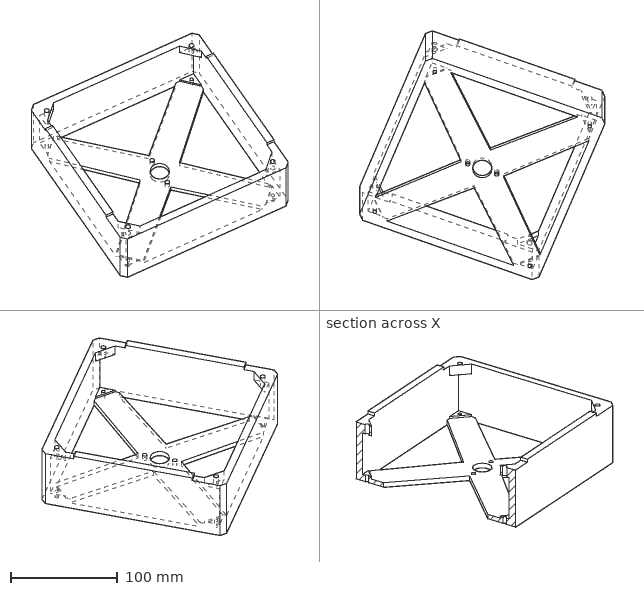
import cadquery as cq

side = 180.0
overall_height = 63.0
lip_height = 3.0
frame_height = overall_height - lip_height
wall = 7.5
outer_chamfer = 5.0
inner_side = side - 2 * wall
inner_half = inner_side / 2

lip_length = 115.7

gusset_leg = 15.0
top_gusset_height = 10.0
bottom_gusset_height = 7.0
corner_hole_offset = 77.5
top_hole_diameter = 4.5
bottom_hole_diameter = 3.2

floor_thickness = 5.0
crotch_distance = 21.0
arm_end_setback = 18.9
center_hole_diameter = 17.8
side_hole_diameter = 4.1
side_hole_offset = 14.5

CORNER_SIGNS = [(sx, sy) for sx in (-1, 1) for sy in (-1, 1)]
corner_hole_points = [(sx * corner_hole_offset, sy * corner_hole_offset) for sx, sy in CORNER_SIGNS]


def make_frame():
    """Open square frame with chamfered outer vertical edges."""
    outer = cq.Workplane("XY").rect(side, side).extrude(frame_height)
    outer = outer.edges("|Z").chamfer(outer_chamfer)
    opening = cq.Workplane("XY").rect(inner_side, inner_side).extrude(frame_height)
    return outer.cut(opening)


def make_lips():
    """Two raised lips, as thick as the walls that carry them."""
    lip_center = (side - wall) / 2
    return (
        cq.Workplane("XY", origin=(0, 0, frame_height))
        .pushPoints([(0, -lip_center), (0, lip_center)])
        .rect(lip_length, wall)
        .extrude(lip_height)
    )


def make_gussets(base_z, height):
    """Triangular blocks filling the four inner corners."""
    gussets = cq.Workplane("XY")
    leg_end = inner_half - gusset_leg
    for sx, sy in CORNER_SIGNS:
        triangle = [
            (sx * inner_half, sy * inner_half),
            (sx * leg_end, sy * inner_half),
            (sx * inner_half, sy * leg_end),
        ]
        block = cq.Workplane("XY", origin=(0, 0, base_z)).polyline(triangle).close().extrude(height)
        gussets = gussets.add(block)
    return gussets.combine()


def make_floor():
    """Inner square with a triangular window cut toward each wall."""
    floor = cq.Workplane("XY").rect(inner_side, inner_side).extrude(floor_thickness)
    window_half = inner_half - arm_end_setback
    window = (
        cq.Workplane("XY")
        .polyline([(crotch_distance, 0), (inner_half, window_half), (inner_half, -window_half)])
        .close()
        .extrude(floor_thickness)
    )
    for angle in (0, 90, 180, 270):
        floor = floor.cut(window.rotate((0, 0, 0), (0, 0, 1), angle))
    return floor


def make_holes(points, diameter, base_z, depth):
    """Vertical cylinders to be cut from the part."""
    return (
        cq.Workplane("XY", origin=(0, 0, base_z))
        .pushPoints(points)
        .circle(diameter / 2)
        .extrude(depth)
    )


top_gusset_base = frame_height - top_gusset_height
side_hole_points = [(-side_hole_offset, 0), (side_hole_offset, 0)]

result = (
    make_frame()
    .union(make_lips())
    .union(make_floor())
    .union(make_gussets(0, bottom_gusset_height))
    .union(make_gussets(top_gusset_base, top_gusset_height))
    .cut(make_holes(corner_hole_points, top_hole_diameter, top_gusset_base, top_gusset_height))
    .cut(make_holes(corner_hole_points, bottom_hole_diameter, 0, bottom_gusset_height))
    .cut(make_holes([(0, 0)], center_hole_diameter, 0, floor_thickness))
    .cut(make_holes(side_hole_points, side_hole_diameter, 0, floor_thickness))
)